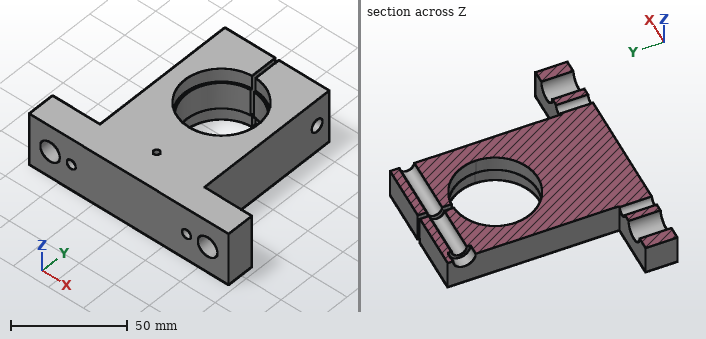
import cadquery as cq

foot_width = 114.0
foot_depth = 15.2
thickness = 30.0
total_depth = 96.0
block_width = 59.7

bore_y = 60.0
bore_diameter = 40.0
recess_diameter = 42.0
recess_depth = 7.5
slit_width = 2.0

screw_y = 88.0
screw_diameter = 7.0
screw_head_diameter = 10.5
screw_head_depth = 5.5

bolt_offset = 45.0
bolt_diameter = 11.2
pin_offset = 33.0
pin_diameter = 5.0

top_hole_y = 18.0
top_hole_diameter = 3.3
top_hole_depth = 10.0

mid_height = thickness / 2


def make_body():
    foot = cq.Workplane("XY").box(foot_width, foot_depth, thickness, centered=(True, False, False))
    block = cq.Workplane("XY").box(block_width, total_depth, thickness, centered=(True, False, False))
    return foot.union(block)


def vertical_hole(y, diameter, depth, top=thickness):
    """Cutter going down from the given height, by default the top face."""
    return (
        cq.Workplane("XY", origin=(0, y, top))
        .circle(diameter / 2)
        .extrude(-depth)
    )


def make_slit():
    slit_length = total_depth - bore_y
    return (
        cq.Workplane("XY", origin=(0, bore_y, 0))
        .box(slit_width, slit_length, thickness, centered=(True, False, False))
    )


def screw_cutter(diameter, depth):
    """Cutter entering the block from its -X side."""
    return (
        cq.Workplane("YZ", origin=(-block_width / 2, screw_y, mid_height))
        .circle(diameter / 2)
        .extrude(depth)
    )


def foot_holes(offset, diameter):
    return (
        cq.Workplane("XZ", origin=(0, 0, mid_height))
        .pushPoints([(-offset, 0), (offset, 0)])
        .circle(diameter / 2)
        .extrude(-foot_depth)
    )


result = (
    make_body()
    .cut(vertical_hole(bore_y, bore_diameter, thickness))
    .cut(vertical_hole(bore_y, recess_diameter, recess_depth))
    .cut(vertical_hole(bore_y, recess_diameter, recess_depth, top=recess_depth))
    .cut(make_slit())
    .cut(vertical_hole(top_hole_y, top_hole_diameter, top_hole_depth))
    .cut(screw_cutter(screw_diameter, block_width))
    .cut(screw_cutter(screw_head_diameter, screw_head_depth))
    .cut(foot_holes(bolt_offset, bolt_diameter))
    .cut(foot_holes(pin_offset, pin_diameter))
)